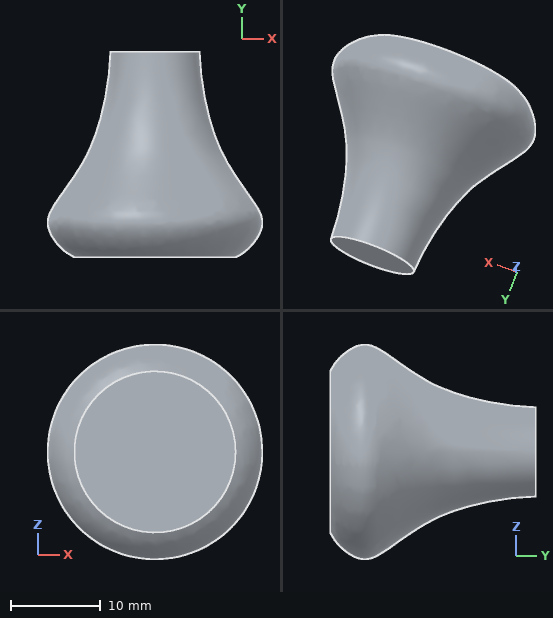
import cadquery as cq

length = 23.0
rim_radius = 12.0
neck_radius = 5.0
face_radius = 9.0

rim_y = 3.9

lower_rim_radius = 11.07
lower_rim_y = 1.68
shoulder_radius = 10.85
shoulder_y = 6.49
flare_radius = 7.78
flare_y = 11.17
waist_radius = 5.75
waist_y = 17.05

side_points = [
    (face_radius, 0),
    (lower_rim_radius, lower_rim_y),
    (rim_radius, rim_y),
    (shoulder_radius, shoulder_y),
    (flare_radius, flare_y),
    (waist_radius, waist_y),
    (neck_radius, length),
]

half_outline = (
    cq.Workplane("XY")
    .lineTo(face_radius, 0)
    .spline(side_points[1:], includeCurrent=True)
    .lineTo(0, length)
    .close()
)

result = half_outline.revolve(360, (0, 0, 0), (0, 1, 0))